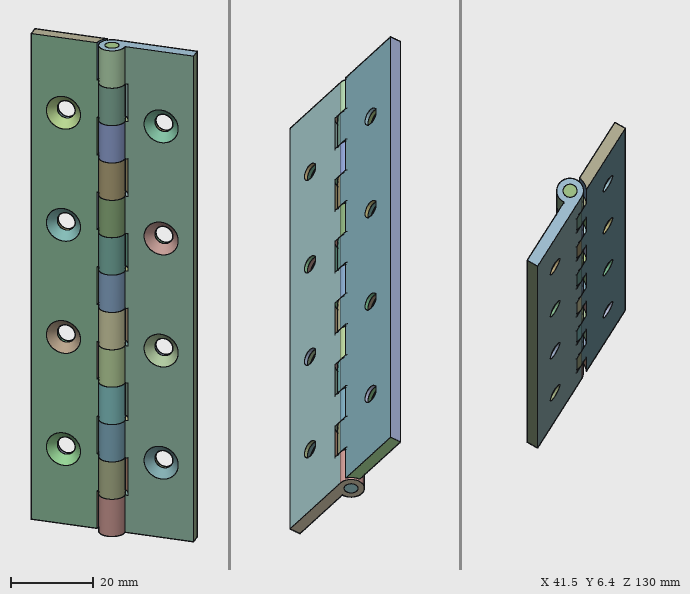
import cadquery as cq

length = 130.0
width = 41.5
leaf_thickness = 3.0
knuckle_count = 13
knuckle_radius = 3.2
knuckle_clearance = 0.7
pin_radius = 1.7
screw_count = 4
knuckles_per_screw = 3
screw_offset = 12.5
screw_hole_diameter = 4.5
countersink_diameter = 8.7
countersink_angle = 90.0

half_width = width / 2
bottom_z = -length / 2
knuckle_height = length / knuckle_count
clearance_radius = knuckle_radius + knuckle_clearance
back_y = knuckle_radius
front_y = back_y - leaf_thickness
screw_pitch = knuckles_per_screw * knuckle_height


def cylinder_on_axis(radius, start_z, height):
    """Cylinder around the hinge axis, rising from start_z."""
    return cq.Workplane("XY", origin=(0, 0, start_z)).circle(radius).extrude(height)


def leaf_plate(side):
    """Flat plate from the hinge axis to the outer edge; side is -1 for left, +1 for right."""
    return (
        cq.Workplane("XY")
        .box(half_width, leaf_thickness, length)
        .translate((side * half_width / 2, front_y + leaf_thickness / 2, 0))
    )


def drill_screw_holes(leaf, side):
    """Column of screw holes, countersunk from the front face."""
    return (
        leaf.copyWorkplane(cq.Workplane("XZ", origin=(side * screw_offset, front_y, 0)))
        .rarray(1.3, screw_pitch, 1, screw_count)
        .cskHole(screw_hole_diameter, countersink_diameter, countersink_angle)
    )


def make_leaf(side, first_knuckle):
    """Leaf that owns every second knuckle, counted from the bottom, and clears the others."""
    leaf = drill_screw_holes(leaf_plate(side), side)
    for index in range(knuckle_count):
        start_z = bottom_z + index * knuckle_height
        if index % 2 == first_knuckle:
            leaf = leaf.union(cylinder_on_axis(knuckle_radius, start_z, knuckle_height))
        else:
            leaf = leaf.cut(cylinder_on_axis(clearance_radius, start_z, knuckle_height))
    return leaf.cut(cylinder_on_axis(pin_radius, bottom_z, length))


right_leaf = make_leaf(side=1, first_knuckle=0)
left_leaf = make_leaf(side=-1, first_knuckle=1)
pin = cylinder_on_axis(pin_radius, bottom_z, length)

result = cq.Compound.makeCompound([right_leaf.val(), left_leaf.val(), pin.val()])